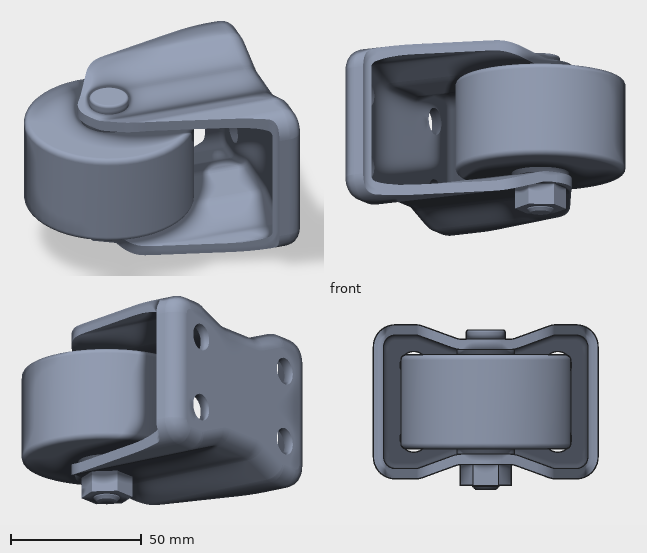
import cadquery as cq
import math


wheel_radius = 32.5
wheel_width = 36.0
wheel_edge_fillet = 2.0
hub_radius = 11.0

sheet = 4.0
plate_width = 86.0
fork_height = 59.0
fork_inner_gap = 39.95
overall_length = 96.5
back_y = overall_length - wheel_radius
back_bend_radius = 6.0
corner_radius = 8.5
crest_bend_radius = 7.5
valley_bend_radius = 8.4
bend_angle = 20.0
valley_half_width = 10.2

rim_depth = 10.0
rim_fillet = 4.0
leg_taper = 15.0
nose_slope = 30.0
nose_radius = 12.0
leg_corner_radius = 13.0
overshoot = 24.1

hole_diameter = 10.4
hole_spacing_x = 55.0
hole_spacing_z = 28.0

head_diameter = 15.0
head_height = 3.6
head_fillet = 1.0
nut_across_flats = 17.0
nut_height = 8.0
bolt_tip_diameter = 10.0
bolt_tip_length = 1.5
bolt_tip_chamfer = 1.2

half_width = plate_width / 2
crest_z = fork_height / 2
valley_z = fork_inner_gap / 2 + sheet
crest_x = valley_half_width + (crest_z - valley_z) / math.tan(math.radians(bend_angle))


def cylinder(radius, z_low, z_high):
    return cq.Workplane("XY").workplane(offset=z_low).circle(radius).extrude(z_high - z_low)


def fillet_at(solid, axis, points, radius):
    """Fillet the edges parallel to an axis that pass through the given points."""
    for point in points:
        solid = solid.edges("|" + axis).edges(cq.selectors.NearestToPointSelector(point)).fillet(radius)
    return solid


def fork_shell():
    """Bow-tie outline pulled along Y, hollow behind an even sheet thickness and open towards -Y."""
    length = back_y + overshoot
    mid_y = (back_y - overshoot) / 2
    upper = [
        (half_width, crest_z),
        (crest_x, crest_z),
        (valley_half_width, valley_z),
        (-valley_half_width, valley_z),
        (-crest_x, crest_z),
        (-half_width, crest_z),
    ]
    lower = [(x, -z) for x, z in reversed(upper)]
    block = cq.Workplane("XZ", origin=(0, back_y, 0)).polyline(upper + lower).close().extrude(length)
    bends = [
        (half_width, crest_z, corner_radius),
        (crest_x, crest_z, crest_bend_radius),
        (valley_half_width, valley_z, valley_bend_radius),
    ]
    for x, z, radius in bends:
        corners = [(sx * x, mid_y, sz * z) for sx in (-1, 1) for sz in (-1, 1)]
        block = fillet_at(block, "Y", corners, radius)

    cavity = block.faces("<Y").wires().toPending().workplane().offset2D(-sheet)
    cavity = cavity.extrude(-(length - sheet), combine=False)
    cavity = cavity.faces(">Y").edges().fillet(back_bend_radius - sheet)
    return block.faces(">Y").edges().fillet(back_bend_radius).cut(cavity)


def leg_outline():
    """Block that keeps the plate with its rim and trims the legs to a tapered, rounded tongue."""
    rim_y = back_y - rim_depth
    rim_x = half_width - sheet
    taper = math.tan(math.radians(leg_taper))
    slope = math.tan(math.radians(nose_slope))
    nose_y = -nose_radius / math.cos(math.radians(nose_slope))
    corner_x = (rim_x - taper * (rim_y - nose_y)) / (1 - taper * slope)
    corner_y = nose_y + slope * corner_x
    right = [(corner_x, corner_y), (rim_x, rim_y), (half_width, rim_y), (half_width, back_y)]
    left = [(-x, y) for x, y in reversed(right)]
    tongue = cq.Workplane("XY").polyline([(0, nose_y)] + right + left).close().extrude(crest_z, both=True)
    tongue = fillet_at(tongue, "Z", [(0, nose_y, 0)], nose_radius)
    tongue = fillet_at(tongue, "Z", [(s * corner_x, corner_y, 0) for s in (-1, 1)], leg_corner_radius)
    return fillet_at(tongue, "Z", [(s * rim_x, rim_y, 0) for s in (-1, 1)], rim_fillet)


def mounting_holes():
    drill = cq.Workplane("XZ", origin=(0, back_y, 0)).rarray(hole_spacing_x, hole_spacing_z, 2, 2)
    return drill.circle(hole_diameter / 2).extrude(rim_depth)


def wheel():
    tread = cylinder(wheel_radius, -wheel_width / 2, wheel_width / 2)
    tread = tread.edges("%CIRCLE").fillet(wheel_edge_fillet)
    return tread.union(cylinder(hub_radius, -fork_inner_gap / 2, fork_inner_gap / 2))


def axle():
    """Round bolt head on the upper leg, hexagon nut and chamfered bolt end under the lower leg."""
    head = cylinder(head_diameter / 2, valley_z, valley_z + head_height)
    head = head.faces(">Z").edges().fillet(head_fillet)
    across_corners = nut_across_flats / math.cos(math.radians(30))
    nut = cq.Workplane("XY").workplane(offset=-valley_z).polygon(6, across_corners).extrude(-nut_height)
    nut_z = -valley_z - nut_height
    tip = cylinder(bolt_tip_diameter / 2, nut_z - bolt_tip_length, nut_z)
    tip = tip.faces("<Z").edges().chamfer(bolt_tip_chamfer)
    return head, nut, tip


fork = fork_shell().intersect(leg_outline()).cut(mounting_holes())
result = fork.union(wheel())
for axle_part in axle():
    result = result.union(axle_part)